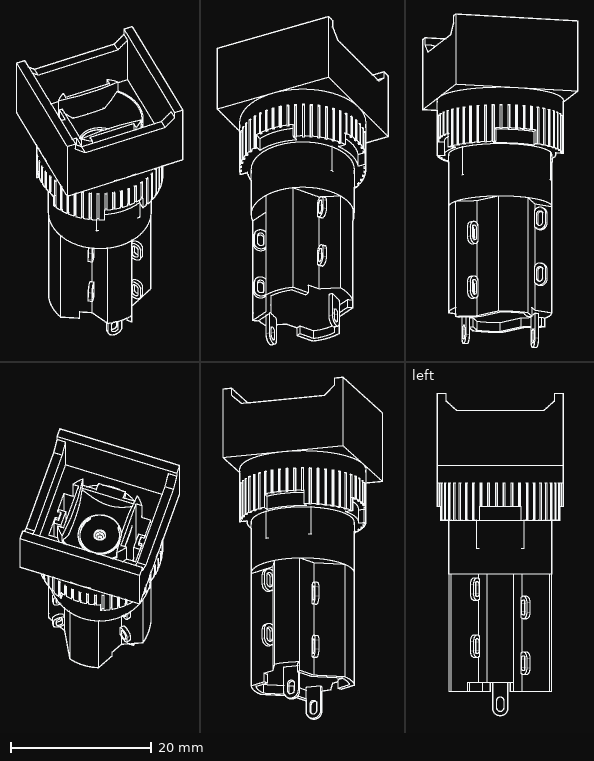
import cadquery as cq
import math

TOTAL_HEIGHT = 45.9
BLOCK_BOTTOM_Z = 3.45
BLOCK_RECESS_TOP_Z = 4.75
BARREL_BOTTOM_Z = 20.2
POCKET_BOTTOM_Z = 23.8
COLLAR_BOTTOM_Z = 27.8
COLLAR_NOTCH_TOP_Z = 29.8
GROOVE_TOP_Z = 33.15
BEZEL_BOTTOM_Z = 35.65
BEZEL_FLOOR_Z = 36.7
FRONT_SHELF_Z = 37.65
BOWL_RIM_Z = 39.1
PANEL_TOP_Z = 41.0
BEZEL_SIDE_TOP_Z = 43.45
BEZEL_CHAMFER_TOP_Z = 44.85

BEZEL_SIDE = 18.0
BEZEL_WALL = 1.3
BEZEL_INNER = BEZEL_SIDE - 2 * BEZEL_WALL
SIDE_DIP_HALF = 6.2

COLLAR_RADIUS = BEZEL_SIDE / 2
COLLAR_CORE_RADIUS = 7.95
COLLAR_NOTCH_WIDTH = 5.9
GROOVE_COUNT = 50
GROOVE_WIDTH = 0.28
GROOVE_DEPTH = 0.28
BARREL_RADIUS = 7.35

REFLECTOR_RADIUS = 6.2
BOWL_TOP_RADIUS = 6.0
BOWL_BOTTOM_RADIUS = 3.08
BOWL_SLOPE = 1.66
BOWL_BOTTOM_Z = BOWL_RIM_Z - BOWL_SLOPE * (BOWL_TOP_RADIUS - BOWL_BOTTOM_RADIUS)
PANEL_OUTER_X = 4.3
PANEL_END_X = 4.1
PANEL_MIDDLE_X = 3.75
PANEL_END_Y = 4.65
FRONT_WALL_INNER_Y = 4.05
FRONT_WALL_OUTER_Y = 4.5
FRONT_TAB_WIDTH = 4.05
FRONT_TAB_END_Y = 5.45

LAMP_WELL_DEPTH = 0.45
LAMP_DIAMETER = 5.65
LAMP_HEIGHT = 0.3
LAMP_KEY_WIDTH = 4.2
LAMP_BORE_DIAMETERS = (1.6, 1.1, 0.55)
LAMP_BORE_STEP = 0.45

POCKET_OUTER_X = 6.5
POCKET_WIDTH = 6.8
RIB_INNER_X = 5.45
RIB_WIDTH = 2.2
RIB_DROP = 0.7
TONGUE_INNER_X = 6.0
TONGUE_WIDTH = 0.95

ARM_HALF_X = 1.9
ARM_HALF_Y = 2.15
VALLEY_X = 4.25
VALLEY_Y = 3.08
SKIRT_WALL = 0.7
CHANNEL_X = 6.43
CHANNEL_HALF_WIDTH = 1.35
WINDOW_SKIRT_X = 3.4
WINDOW_SKIRT_Y = 4.65

SHEET = 0.55
TERMINAL_X = 5.1
TERMINAL_WIDTH = 2.2
TERMINAL_HOLE_WIDTH = 1.0
TERMINAL_HOLE_HEIGHT = 2.0
TERMINAL_HOLE_Z = 1.65
LUG_WIDTH = 1.85
LUG_HEIGHT = 3.2
LUG_HOLE_WIDTH = 0.9
LUG_HOLE_HEIGHT = 2.1
LUG_RADIAL = 6.05
LUG_ANGLE = 35.2
LUG_LOW_Z = 7.5
LUG_HIGH_Z = 9.9
LUG_LOW_PITCH = 7.95
LUG_HIGH_PITCH = 8.12


def box(x0, x1, y0, y1, z0, z1):
    return cq.Workplane("XY").box(x1 - x0, y1 - y0, z1 - z0, centered=False).translate((x0, y0, z0))


def centred_box(width_x, width_y, z0, z1):
    return box(-width_x / 2, width_x / 2, -width_y / 2, width_y / 2, z0, z1)


def cylinder(radius, z0, z1):
    return cq.Workplane("XY").workplane(offset=z0).circle(radius).extrude(z1 - z0)


def upright_plate(width, height, hole_width, hole_height):
    """Obround plate centred on the origin in the XZ plane, with an obround hole."""
    plate = cq.Workplane("XZ").slot2D(height, width, 90).extrude(SHEET / 2, both=True)
    hole = cq.Workplane("XZ").slot2D(hole_height, hole_width, 90).extrude(SHEET, both=True)
    return plate.cut(hole)


def bezel():
    """Square cup whose X walls dip between chamfered shoulders."""
    inner_half = BEZEL_INNER / 2
    cup = centred_box(BEZEL_SIDE, BEZEL_SIDE, BEZEL_BOTTOM_Z, TOTAL_HEIGHT)
    cup = cup.cut(centred_box(BEZEL_INNER, BEZEL_INNER, BEZEL_FLOOR_Z, TOTAL_HEIGHT))
    dip = (
        cq.Workplane("YZ")
        .moveTo(-inner_half, TOTAL_HEIGHT)
        .lineTo(-inner_half, BEZEL_CHAMFER_TOP_Z)
        .lineTo(-SIDE_DIP_HALF, BEZEL_SIDE_TOP_Z)
        .lineTo(SIDE_DIP_HALF, BEZEL_SIDE_TOP_Z)
        .lineTo(inner_half, BEZEL_CHAMFER_TOP_Z)
        .lineTo(inner_half, TOTAL_HEIGHT)
        .close()
        .extrude(BEZEL_SIDE, both=True)
    )
    return cup.cut(dip)


def collar():
    """Round collar with grip grooves and a notch on each of its four sides."""
    ring = cylinder(COLLAR_RADIUS, COLLAR_BOTTOM_Z, BEZEL_BOTTOM_Z)
    groove = box(
        COLLAR_RADIUS - GROOVE_DEPTH, COLLAR_RADIUS + GROOVE_DEPTH,
        -GROOVE_WIDTH / 2, GROOVE_WIDTH / 2, COLLAR_BOTTOM_Z, GROOVE_TOP_Z,
    )
    for i in range(GROOVE_COUNT):
        angle = -90 + i * 360 / GROOVE_COUNT
        ring = ring.cut(groove.rotate((0, 0, 0), (0, 0, 1), angle))
    notches = centred_box(BEZEL_SIDE, COLLAR_NOTCH_WIDTH, COLLAR_BOTTOM_Z, COLLAR_NOTCH_TOP_Z)
    notches = notches.union(notches.rotate((0, 0, 0), (0, 0, 1), 90))
    return ring.cut(notches).union(cylinder(COLLAR_CORE_RADIUS, COLLAR_BOTTOM_Z, BEZEL_BOTTOM_Z))


def side_panel():
    """Panel on the +X side of the bowl, slightly bowed inwards and ending in corner posts."""
    panel = (
        cq.Workplane("XY")
        .workplane(offset=BEZEL_FLOOR_Z)
        .moveTo(PANEL_END_X, -PANEL_END_Y)
        .threePointArc((PANEL_MIDDLE_X, 0), (PANEL_END_X, PANEL_END_Y))
        .lineTo(REFLECTOR_RADIUS, PANEL_END_Y)
        .lineTo(REFLECTOR_RADIUS, -PANEL_END_Y)
        .close()
        .extrude(PANEL_TOP_Z - BEZEL_FLOOR_Z)
    )
    return panel.intersect(cylinder(REFLECTOR_RADIUS, BEZEL_FLOOR_Z, PANEL_TOP_Z))


def both_sides(solid):
    return solid.union(solid.mirror("YZ"))


def bowl():
    """Conical cavity with a flat front wall, ending in a shallow well."""
    profile_top = BOWL_RIM_Z + BOWL_SLOPE * (REFLECTOR_RADIUS - BOWL_TOP_RADIUS)
    well_bottom = BOWL_BOTTOM_Z - LAMP_WELL_DEPTH
    cavity = (
        cq.Workplane("XZ")
        .moveTo(0, well_bottom)
        .lineTo(BOWL_BOTTOM_RADIUS, well_bottom)
        .lineTo(BOWL_BOTTOM_RADIUS, BOWL_BOTTOM_Z)
        .lineTo(REFLECTOR_RADIUS, profile_top)
        .lineTo(0, profile_top)
        .close()
        .revolve(360, (0, 0, 0), (0, 1, 0))
    )
    front = box(-BEZEL_SIDE, BEZEL_SIDE, -BEZEL_SIDE, -FRONT_WALL_INNER_Y, well_bottom, TOTAL_HEIGHT)
    return cavity.cut(front)


def lamp_top_z():
    return BOWL_BOTTOM_Z - LAMP_WELL_DEPTH + LAMP_HEIGHT


def lamp():
    """Low disc on the floor of the well, with a key reaching the well wall on the -Y side."""
    bottom = BOWL_BOTTOM_Z - LAMP_WELL_DEPTH
    top = lamp_top_z()
    key = box(-LAMP_KEY_WIDTH / 2, LAMP_KEY_WIDTH / 2, -BOWL_BOTTOM_RADIUS, 0, bottom, top)
    key = key.intersect(cylinder(BOWL_BOTTOM_RADIUS, bottom, top))
    return cylinder(LAMP_DIAMETER / 2, bottom, top).union(key)


def lamp_bore():
    """Bore into the lamp that narrows in steps."""
    top = lamp_top_z()
    bore = cq.Workplane("XY")
    for i, diameter in enumerate(LAMP_BORE_DIAMETERS):
        bore = bore.union(cylinder(diameter / 2, top - LAMP_BORE_STEP * (i + 1), top))
    return bore


def front_shelf_cut():
    """Space in front of the bowl's front wall, around its central tab."""
    space = cylinder(REFLECTOR_RADIUS, FRONT_SHELF_Z, BOWL_RIM_Z)
    space = space.intersect(
        box(-PANEL_END_X, PANEL_END_X, -BEZEL_SIDE, -FRONT_WALL_OUTER_Y, FRONT_SHELF_Z, BOWL_RIM_Z)
    )
    tab = box(
        -FRONT_TAB_WIDTH / 2, FRONT_TAB_WIDTH / 2,
        -FRONT_TAB_END_Y, -FRONT_WALL_OUTER_Y, FRONT_SHELF_Z, BOWL_RIM_Z,
    )
    return space.cut(tab)


def latch_pocket():
    """Deep pocket on the +X side with a rib and a tongue on its outer wall."""
    half = POCKET_WIDTH / 2
    pocket = box(PANEL_OUTER_X, POCKET_OUTER_X, -half, half, POCKET_BOTTOM_Z, PANEL_TOP_Z)
    rib_top = BEZEL_FLOOR_Z - RIB_DROP
    rib = box(RIB_INNER_X, POCKET_OUTER_X, -RIB_WIDTH / 2, RIB_WIDTH / 2, POCKET_BOTTOM_Z, rib_top)
    tongue = box(
        TONGUE_INNER_X, POCKET_OUTER_X, -TONGUE_WIDTH / 2, TONGUE_WIDTH / 2, POCKET_BOTTOM_Z, BEZEL_FLOOR_Z
    )
    return pocket.cut(rib).cut(tongue)


def make_housing():
    body = cylinder(BARREL_RADIUS, BARREL_BOTTOM_Z, COLLAR_BOTTOM_Z)
    body = body.union(collar()).union(bezel())
    body = body.union(cylinder(REFLECTOR_RADIUS, BEZEL_FLOOR_Z, BOWL_RIM_Z))
    body = body.cut(front_shelf_cut()).cut(bowl())
    body = body.union(both_sides(side_panel()))
    body = body.cut(both_sides(latch_pocket()))
    return body.union(lamp()).cut(lamp_bore())


def block_outline():
    """Cross outline: four arms on the barrel radius with V valleys between them."""
    arm_x = math.sqrt(BARREL_RADIUS**2 - ARM_HALF_X**2)
    arm_y = math.sqrt(BARREL_RADIUS**2 - ARM_HALF_Y**2)
    return (
        cq.Workplane("XY")
        .moveTo(arm_x, -ARM_HALF_X)
        .threePointArc((BARREL_RADIUS, 0), (arm_x, ARM_HALF_X))
        .lineTo(VALLEY_X, VALLEY_Y)
        .lineTo(ARM_HALF_Y, arm_y)
        .threePointArc((0, BARREL_RADIUS), (-ARM_HALF_Y, arm_y))
        .lineTo(-VALLEY_X, VALLEY_Y)
        .lineTo(-arm_x, ARM_HALF_X)
        .threePointArc((-BARREL_RADIUS, 0), (-arm_x, -ARM_HALF_X))
        .lineTo(-VALLEY_X, -VALLEY_Y)
        .lineTo(-ARM_HALF_Y, -arm_y)
        .threePointArc((0, -BARREL_RADIUS), (ARM_HALF_Y, -arm_y))
        .lineTo(VALLEY_X, -VALLEY_Y)
        .close()
    )


def skirt_opening():
    """Cut on the +X side: a flared channel end and a window in the wall on its -Y side."""
    arm_x = math.sqrt(BARREL_RADIUS**2 - ARM_HALF_X**2)
    valley_tilt = math.atan2(BARREL_RADIUS - VALLEY_Y, VALLEY_X - ARM_HALF_Y)
    reach = 2 * SKIRT_WALL
    step_x = reach * math.sin(valley_tilt)
    step_y = reach * math.cos(valley_tilt)
    cut = (
        cq.Workplane("XY")
        .moveTo(CHANNEL_X, CHANNEL_HALF_WIDTH)
        .lineTo(arm_x, ARM_HALF_X)
        .lineTo(BARREL_RADIUS + SKIRT_WALL, ARM_HALF_X)
        .lineTo(BARREL_RADIUS + SKIRT_WALL, -WINDOW_SKIRT_Y - step_y)
        .lineTo(WINDOW_SKIRT_X + step_x, -WINDOW_SKIRT_Y - step_y)
        .lineTo(WINDOW_SKIRT_X - step_x, -WINDOW_SKIRT_Y + step_y)
        .lineTo(WINDOW_SKIRT_X - step_x, CHANNEL_HALF_WIDTH)
        .close()
        .extrude(BLOCK_RECESS_TOP_Z - BLOCK_BOTTOM_Z)
    )
    return cut.translate((0, 0, BLOCK_BOTTOM_Z))


def terminal():
    """Blade with a rounded tip, hanging below the block, its flat faces square to X."""
    height = BLOCK_RECESS_TOP_Z
    tip_radius = TERMINAL_WIDTH / 2
    blade = (
        cq.Workplane("YZ")
        .moveTo(-tip_radius, height)
        .lineTo(-tip_radius, tip_radius)
        .threePointArc((0, 0), (tip_radius, tip_radius))
        .lineTo(tip_radius, height)
        .close()
        .extrude(SHEET / 2, both=True)
    )
    hole = (
        cq.Workplane("YZ")
        .center(0, TERMINAL_HOLE_Z)
        .slot2D(TERMINAL_HOLE_HEIGHT, TERMINAL_HOLE_WIDTH, 90)
        .extrude(SHEET, both=True)
    )
    return blade.cut(hole)


def lugs():
    """Two storeys of radial solder lugs, one in each valley, alternately low and high."""
    lug = upright_plate(LUG_WIDTH, LUG_HEIGHT, LUG_HOLE_WIDTH, LUG_HOLE_HEIGHT)
    lug = lug.translate((LUG_RADIAL, 0, 0))
    low = (LUG_LOW_Z, LUG_LOW_Z + LUG_LOW_PITCH)
    high = (LUG_HIGH_Z, LUG_HIGH_Z + LUG_HIGH_PITCH)
    placements = (
        (LUG_ANGLE, low),
        (180 - LUG_ANGLE, high),
        (180 + LUG_ANGLE, low),
        (360 - LUG_ANGLE, high),
    )
    return [
        lug.rotate((0, 0, 0), (0, 0, 1), angle).translate((0, 0, z))
        for angle, heights in placements
        for z in heights
    ]


def make_contact_block():
    body = block_outline().extrude(BARREL_BOTTOM_Z - BLOCK_BOTTOM_Z)
    body = body.translate((0, 0, BLOCK_BOTTOM_Z))
    recess = block_outline().offset2D(-SKIRT_WALL, "intersection")
    recess = recess.extrude(BLOCK_RECESS_TOP_Z - BLOCK_BOTTOM_Z).translate((0, 0, BLOCK_BOTTOM_Z))
    opening = skirt_opening()
    body = body.cut(recess).cut(opening).cut(opening.rotate((0, 0, 0), (0, 0, 1), 180))
    for side in (-1, 1):
        body = body.union(terminal().translate((side * TERMINAL_X, 0, 0)))
    for lug in lugs():
        body = body.union(lug)
    return body


housing = make_housing()
contact_block = make_contact_block()

result = cq.Compound.makeCompound([housing.solids().val(), contact_block.solids().val()])